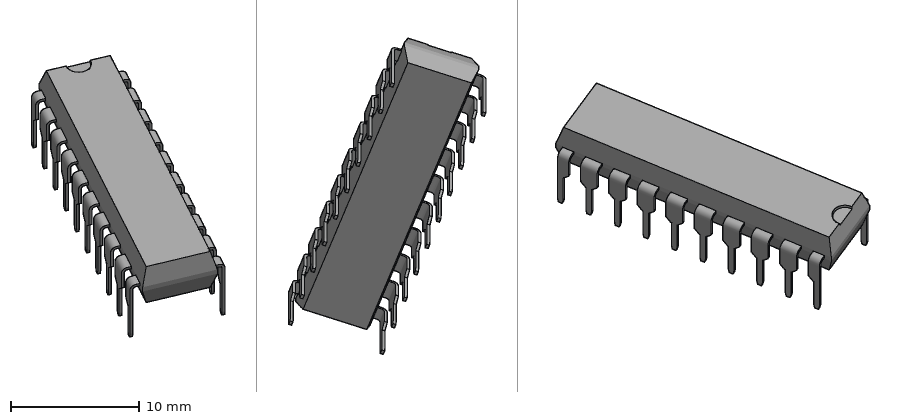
import cadquery as cq
import math


body_length = 24.6
body_width = 6.2
body_height = 3.85
band_height = 0.45
draft_angle = 15.0

leads_per_side = 10
lead_pitch = 2.54
row_spacing = 7.62
lead_thickness = 0.25
shoulder_width = 1.5
pin_width = 0.5
pin_length = 3.0
shoulder_taper_height = 0.51
bend_outer_radius = 0.5
tip_height = 0.38
tip_inset = 0.08
lead_embedment = 0.5

notch_top_radius = 1.0
notch_setback = 0.06
notch_depth = 0.2
notch_draft_angle = 15.0

total_height = 7.36

body_top_z = total_height - pin_length
body_bottom_z = body_top_z - body_height
body_mid_z = (body_top_z + body_bottom_z) / 2
slope_height = (body_height - band_height) / 2
slope_inset = slope_height * math.tan(math.radians(draft_angle))
lead_top_z = body_mid_z + lead_thickness / 2
lead_outer_y = (row_spacing + lead_thickness) / 2
lead_inner_y = body_width / 2 - lead_embedment
notch_center_x = -body_length / 2 + slope_inset + notch_setback


def make_body():
    """Straight parting band with a drafted half above and below it."""
    half_band = band_height / 2
    band = cq.Workplane("XY").workplane(offset=body_mid_z - half_band).rect(body_length, body_width)
    body = band.extrude(band_height)
    upper = cq.Workplane("XY").workplane(offset=body_mid_z + half_band).rect(body_length, body_width)
    upper = upper.extrude(slope_height, taper=draft_angle)
    lower = upper.mirror("XY", (0, 0, body_mid_z))
    return body.union(upper).union(lower)


def make_notch():
    """Conical cutter, narrower at its floor, that breaks out through the sloping end face."""
    notch = cq.Workplane("XY").workplane(offset=body_top_z).center(notch_center_x, 0)
    return notch.circle(notch_top_radius).extrude(-notch_depth, taper=notch_draft_angle)


def make_bent_strip():
    """Side profile of a lead on the -Y side, swept over the whole row length."""
    inner_radius = bend_outer_radius - lead_thickness
    bend_y = -lead_outer_y + bend_outer_radius
    bend_z = lead_top_z - bend_outer_radius
    diagonal = math.cos(math.radians(45))
    profile = (
        cq.Workplane("YZ")
        .moveTo(-lead_inner_y, lead_top_z)
        .lineTo(bend_y, lead_top_z)
        .threePointArc(
            (bend_y - bend_outer_radius * diagonal, bend_z + bend_outer_radius * diagonal),
            (-lead_outer_y, bend_z),
        )
        .lineTo(-lead_outer_y, -pin_length)
        .lineTo(-lead_outer_y + lead_thickness, -pin_length)
        .lineTo(-lead_outer_y + lead_thickness, bend_z)
        .threePointArc(
            (bend_y - inner_radius * diagonal, bend_z + inner_radius * diagonal),
            (bend_y, lead_top_z - lead_thickness),
        )
        .lineTo(-lead_inner_y, lead_top_z - lead_thickness)
        .close()
    )
    return profile.extrude(body_length / 2, both=True)


def make_lead_blank(center_x, left_width, right_width):
    """Front outline of a lead; the widths are the shoulder's reach to either side of the pin axis."""
    half_pin = pin_width / 2
    half_tip = half_pin - tip_inset
    points = [(half_tip, -pin_length), (half_pin, tip_height - pin_length), (half_pin, 0)]
    if right_width > half_pin:
        points.append((right_width, shoulder_taper_height))
    points += [(right_width, lead_top_z), (-left_width, lead_top_z)]
    if left_width > half_pin:
        points += [(-left_width, shoulder_taper_height), (-half_pin, 0)]
    points += [(-half_pin, tip_height - pin_length), (-half_tip, -pin_length)]
    outline = cq.Workplane("XZ").center(center_x, 0).polyline(points).close()
    return outline.extrude(lead_outer_y)


def make_lead_row():
    """Row of leads on the -Y side; the end leads have no shoulder on their outer side."""
    blanks = cq.Workplane("XY")
    last = leads_per_side - 1
    for index in range(leads_per_side):
        center_x = (index - last / 2) * lead_pitch
        left_width = pin_width / 2 if index == 0 else shoulder_width / 2
        right_width = pin_width / 2 if index == last else shoulder_width / 2
        blanks = blanks.add(make_lead_blank(center_x, left_width, right_width))
    return make_bent_strip().intersect(blanks.combine())


lead_row = make_lead_row()
result = make_body().cut(make_notch()).union(lead_row).union(lead_row.mirror("XZ"))